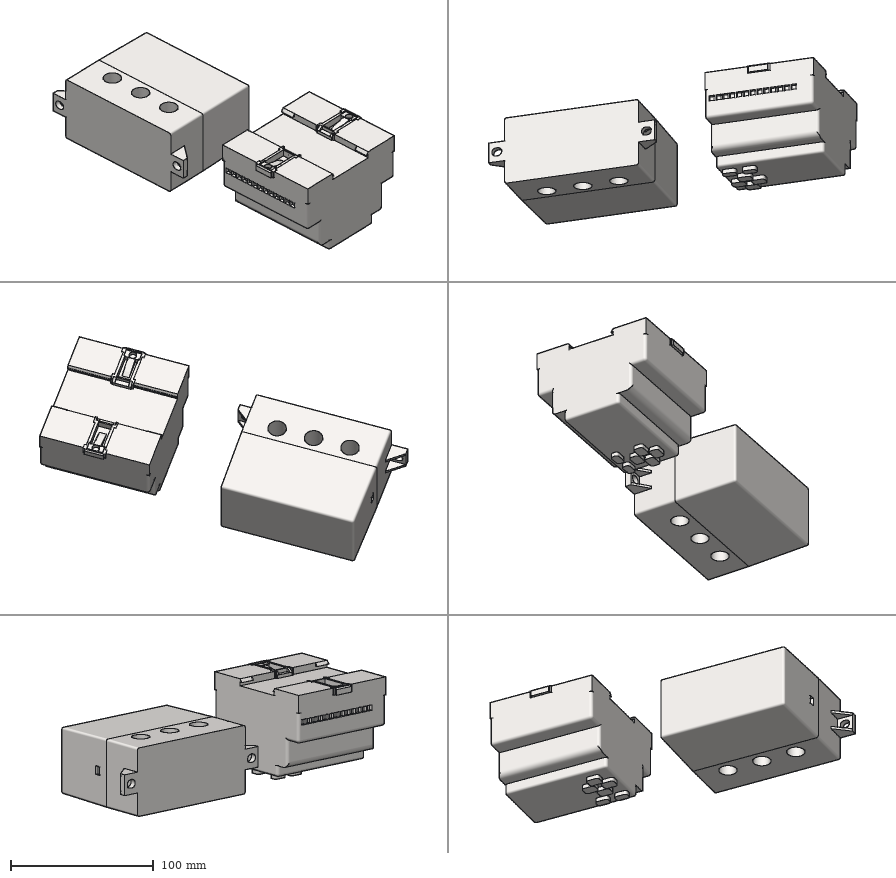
import cadquery as cq

ct_width = 100.0
ct_height = 49.7
ct_depth = 83.1
ct_bottom = 3.6
base_depth = 33.5
cover_depth = ct_depth - base_depth
cover_draft = 0.9
ct_edge_radius = 1.7
ct_mid_z = ct_bottom + ct_height / 2

conductor_hole_diameter = 12.8
conductor_hole_pitch = 27.0
conductor_hole_y = 23.3

window_length = 4.4
window_height = 6.0
window_depth = 2.5
window_y = 43.0
window_z = 28.8

ear_reach = 11.9
ear_height = 15.0
ear_thickness = 4.4
ear_root_depth = 14.3
ear_rib_thickness = 2.0
ear_slot_length = 7.3
ear_slot_width = 6.0
ear_slot_inset = 6.0

meter_width = 81.0
meter_depth = 90.0
meter_top = 66.6
meter_gap = 37.5
meter_x = ct_width / 2 + ear_reach + meter_gap + meter_width / 2
meter_mid_y = meter_depth / 2

shoulder_z = 31.5
middle_z = 11.5
face_z = 3.2
middle_inset = 11.9
face_inset = 22.3
corner_radius = 2.2
corner_top = 53.5
shoulder_radius = 2.2
middle_radius = 4.4
face_radius = 1.7

rail_depth = 5.0
rail_front_y = 25.7
rail_back_y = 62.8
jaw_reach = 1.5
jaw_lip_drop = 2.5
jaw_undercut = 1.0
hook_reach = 2.0
hook_length = 11.0

terminal_count = 13
terminal_size = 3.9
terminal_pitch = 5.0
terminal_depth = 2.5
terminal_z = 46.5
first_terminal_x = 5.0

key_height = face_z
key_width = 10.2
key_depth = 7.8
key_radius = 2.2
key_pad_x = 15.0
key_pad_y = 50.0
key_pad_step_x = 7.5
key_pad_step_y = 8.0
front_key_y = 30.5
front_key_depth = 6.0

clip_width = 14.0
clip_overhang = 2.0
clip_inner_y = 28.5
clip_tab_width = 16.7
clip_tab_overhang = 0.7
outer_tab_length = 3.6
inner_tab_start = 23.0
inner_tab_length = 4.8
clip_end_chamfer = 1.0
nose_length = 3.5
nose_drop = 2.7
nose_wall = 1.0
clip_window_width = 10.0
clip_window_start = 5.5
screw_pocket_width = 11.6
screw_pocket_start = 0.0
screw_pocket_drop = 1.0
screw_hole_radius = 2.7
screw_hole_depth = 3.0
screw_y = 3.0
tongue_width = 5.3
tongue_knee_y = 16.0
tongue_end_y = 19.5
tongue_top_drop = 1.2
tongue_knee_drop = 3.6


def block(x0, x1, y0, y1, z0, z1):
    """Axis-aligned box between two opposite corners."""
    return cq.Workplane("XY").box(x1 - x0, y1 - y0, z1 - z0, centered=False).translate((x0, y0, z0))


def centred_block(width, y0, y1, z0, z1):
    """Box centred on X = 0."""
    return block(-width / 2, width / 2, y0, y1, z0, z1)


def conductor_holes():
    """Row of through holes for the conductors, open at top and bottom."""
    points = [(i * conductor_hole_pitch, conductor_hole_y) for i in (-1, 0, 1)]
    holes = cq.Workplane("XY").pushPoints(points).circle(conductor_hole_diameter / 2)
    return holes.extrude(ct_bottom + ct_height)


def right_ear():
    """Slotted mounting plate with a triangular rib along its top and bottom."""
    root_x = ct_width / 2
    tip_x = root_x + ear_reach
    low_z = ct_mid_z - ear_height / 2
    outline = [(root_x, 0), (tip_x, 0), (tip_x, ear_thickness), (root_x, ear_root_depth)]
    ear = cq.Workplane("XY").workplane(offset=low_z).polyline(outline).close().extrude(ear_height)
    between_ribs = block(
        root_x, tip_x, ear_thickness, ear_root_depth,
        low_z + ear_rib_thickness, low_z + ear_height - ear_rib_thickness,
    )
    slot = (
        cq.Workplane("XZ").center(tip_x - ear_slot_inset, ct_mid_z)
        .slot2D(ear_slot_length, ear_slot_width).extrude(-ear_thickness)
    )
    return ear.cut(between_ribs).cut(slot)


def make_base():
    """Front half of the transformer, with a mounting ear on each side."""
    base = centred_block(ct_width, 0, base_depth, ct_bottom, ct_bottom + ct_height)
    base = base.edges("|Y").fillet(ct_edge_radius).cut(conductor_holes())
    ear = right_ear()
    return base.union(ear).union(ear.mirror("YZ"))


def make_cover():
    """Drafted box behind the base, rounded along its sides and back."""
    cover = (
        cq.Workplane("XZ", origin=(0, base_depth, ct_mid_z))
        .rect(ct_width, ct_height).extrude(-cover_depth, taper=cover_draft)
    )
    cover = cover.edges("not <Y").fillet(ct_edge_radius)
    left_x = -ct_width / 2
    window = block(
        left_x, left_x + window_depth,
        window_y - window_length / 2, window_y + window_length / 2,
        window_z - window_height / 2, window_z + window_height / 2,
    )
    return cover.cut(window)


def housing_tier(inset, bottom, top):
    """One step of the housing, set in from the front and back."""
    return centred_block(meter_width, inset, meter_depth - inset, bottom, top)


def rounded_tier(inset, bottom, top, bottom_radius):
    """Tier with rounded corners and a rounding all round its underside."""
    tier = housing_tier(inset, bottom, top).edges("|Z").fillet(corner_radius)
    return tier.faces("<Z").edges().fillet(bottom_radius)


def middle_tier():
    """Tier whose front and back lower edges are rounded straight through to its sides."""
    tier = housing_tier(middle_inset, middle_z, corner_top)
    rounded_corners = tier.edges("|Z").fillet(corner_radius)
    rounded_underside = tier.faces("<Z").edges("|X").fillet(middle_radius)
    return rounded_corners.intersect(rounded_underside)


def side_profile(x0, length, points):
    """Prism along X from an outline of (Y, Z) points."""
    return cq.Workplane("YZ", origin=(x0, 0, 0)).polyline(points).close().extrude(length)


def rail_channel():
    """Channel across the top that leaves an undercut front jaw and two back hooks."""
    floor_z = meter_top - rail_depth
    lip_z = meter_top - jaw_lip_drop
    left_x = -meter_width / 2
    front_lip_y = rail_front_y + jaw_reach
    channel = side_profile(left_x, meter_width, [
        (rail_front_y, meter_top),
        (front_lip_y, lip_z),
        (front_lip_y - jaw_undercut, lip_z),
        (front_lip_y - jaw_undercut, floor_z),
        (rail_back_y, floor_z),
        (rail_back_y, meter_top),
    ])
    for hook_x in (left_x, meter_width / 2 - hook_length):
        channel = channel.cut(side_profile(hook_x, hook_length, [
            (rail_back_y, meter_top),
            (rail_back_y - hook_reach, lip_z),
            (rail_back_y, lip_z),
        ]))
    return channel


def terminal_openings():
    """Row of square pockets in the front of the housing."""
    points = [
        (first_terminal_x - meter_width / 2 + i * terminal_pitch, terminal_z)
        for i in range(terminal_count)
    ]
    openings = cq.Workplane("XZ").pushPoints(points).rect(terminal_size, terminal_size)
    return openings.extrude(-terminal_depth)


def key(x, y, depth):
    """Key with rounded corners, standing between Z = 0 and the front panel."""
    outline = cq.Workplane("XY").center(x, y).rect(key_width, depth).extrude(key_height)
    return outline.edges("|Z").fillet(key_radius)


def keys():
    """Four direction keys in a cross, and two keys in front of them."""
    pad_x = key_pad_x - meter_width / 2
    pad = [
        key(pad_x, key_pad_y + key_pad_step_y, key_depth),
        key(pad_x, key_pad_y - key_pad_step_y, key_depth),
    ]
    for side in (-1, 1):
        x = pad_x + side * key_pad_step_x
        pad.append(key(x, key_pad_y, key_depth))
        pad.append(key(x, front_key_y, front_key_depth))
    return pad


def make_housing():
    """Three stepped tiers under a sharp-cornered top, with the rail channel cut across it."""
    housing = centred_block(meter_width, 0, meter_depth, corner_top, meter_top)
    housing = housing.union(rounded_tier(0, shoulder_z, corner_top, shoulder_radius))
    housing = housing.union(middle_tier())
    housing = housing.union(rounded_tier(face_inset, face_z, corner_top, face_radius))
    housing = housing.cut(rail_channel()).cut(terminal_openings())
    for one_key in keys():
        housing = housing.union(one_key)
    return housing


def clip_blank():
    """Solid envelope of the front clip, which is also the shape of its seat."""
    floor_z = meter_top - rail_depth
    blank = centred_block(clip_width, -clip_overhang, clip_inner_y, floor_z, meter_top)
    outer_tab = centred_block(
        clip_tab_width, -clip_tab_overhang, outer_tab_length - clip_tab_overhang, floor_z, meter_top
    )
    inner_tab = centred_block(
        clip_tab_width, inner_tab_start, inner_tab_start + inner_tab_length, floor_z, meter_top
    )
    return blank.union(outer_tab).union(inner_tab)


def make_front_clip():
    """Frame with a window, a sloping spring tongue in it and a screw hole at the outer end."""
    floor_z = meter_top - rail_depth
    pocket_z = meter_top - screw_pocket_drop
    nose_start = clip_inner_y - nose_length
    nose_z = meter_top - nose_drop

    clip = clip_blank().faces("<Y").edges(">Z").chamfer(clip_end_chamfer)

    nose_slope = side_profile(-clip_width / 2, clip_width, [
        (nose_start, meter_top), (clip_inner_y, meter_top), (clip_inner_y, nose_z),
    ])
    nose_notch = centred_block(clip_window_width, nose_start, clip_inner_y, nose_z, meter_top)
    window = centred_block(
        clip_window_width, clip_window_start, nose_start - nose_wall, floor_z, meter_top
    )
    screw_pocket = centred_block(
        screw_pocket_width, screw_pocket_start, clip_window_start, pocket_z, meter_top
    )
    clip = clip.cut(nose_slope).cut(nose_notch).cut(window).cut(screw_pocket)

    screw_hole = (
        cq.Workplane("XY", origin=(0, screw_y, pocket_z))
        .circle(screw_hole_radius).extrude(-screw_hole_depth)
    )
    tongue = side_profile(-tongue_width / 2, tongue_width, [
        (clip_window_start, floor_z),
        (clip_window_start, meter_top - tongue_top_drop),
        (tongue_knee_y, meter_top - tongue_knee_drop),
        (tongue_end_y, floor_z),
    ])
    return clip.cut(screw_hole).union(tongue)


def to_back(shape):
    """Mirror a front clip shape to the back of the meter."""
    return shape.mirror("XZ", (0, meter_mid_y, 0))


def in_place(shape):
    """Move a meter body from X = 0 to its place beside the transformer."""
    return shape.translate((meter_x, 0, 0))


base = make_base()
cover = make_cover()

seat = clip_blank()
housing = in_place(make_housing().cut(seat).cut(to_back(seat)))

front_clip = make_front_clip()
clips = [in_place(front_clip), in_place(to_back(front_clip))]

result = cq.Compound.makeCompound(
    [base.val(), cover.val(), housing.val(), *[clip.val() for clip in clips]]
)